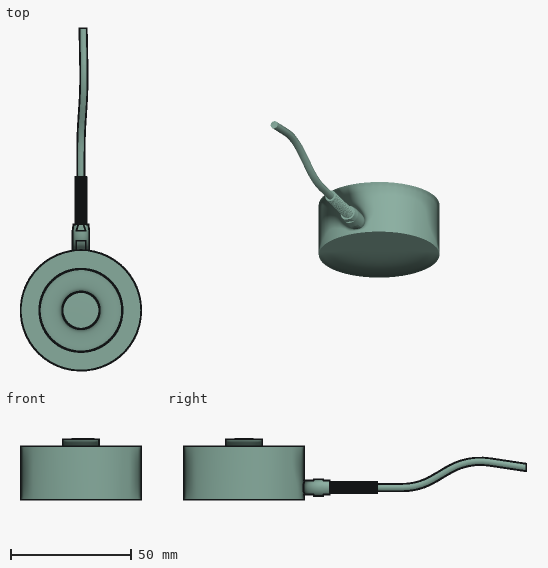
import cadquery as cq
import math

CELL_DIAMETER = 50.29
CELL_HEIGHT = 22.35
TOTAL_HEIGHT = 25.4
TOTAL_LENGTH = 142.72
CELL_RADIUS = CELL_DIAMETER / 2

BUTTON_DIAMETER = 15.24
BUTTON_CROWN = 0.1
BUTTON_RELIEF_DIAMETER = 15.8
BUTTON_RELIEF_DEPTH = 0.3

RECESS_RIM_DIAMETER = 34.8
RECESS_FLOOR_DIAMETER = 34.2
RECESS_DEPTH = 0.5

CABLE_AXIS_Z = 5.12
FITTING_DIAMETER = 7.06
FITTING_SEAT_Y = CELL_RADIUS - 0.5
FITTING_SHOULDER_Y = 33.1
FITTING_TIP_Y = 35.8
FITTING_TIP_DIAMETER = 6.3
FLATS_WIDTH = 5.95
REAR_FLAT_END_Y = 29.0

COIL_OUTER_DIAMETER = 4.8
COIL_INNER_DIAMETER = 3.94
COIL_COUNT = 46
WIRE_DIAMETER = (COIL_OUTER_DIAMETER - COIL_INNER_DIAMETER) / 2
COIL_MEAN_RADIUS = (COIL_OUTER_DIAMETER + COIL_INNER_DIAMETER) / 4

CABLE_DIAMETER = 3.17
CABLE_END_Y = TOTAL_LENGTH - CELL_RADIUS
CABLE_CORNERS = [
    (0, FITTING_SEAT_Y, CABLE_AXIS_Z),
    (0, 72.75, CABLE_AXIS_Z),
    (1.37, 93.2, 17.15),
    (0.82, CABLE_END_Y + CABLE_DIAMETER, 13.0),
]
LOWER_BEND_TANGENT = 6.9
UPPER_BEND_TANGENT = 9.1


def cylinder_along_y(diameter, start_y, end_y):
    plane = cq.Plane(origin=(0, start_y, CABLE_AXIS_Z), xDir=(1, 0, 0), normal=(0, 1, 0))
    return cq.Workplane(plane).circle(diameter / 2).extrude(end_y - start_y)


def make_load_cell():
    button_radius = BUTTON_DIAMETER / 2
    recess_floor_z = CELL_HEIGHT - RECESS_DEPTH
    relief_floor_z = recess_floor_z - BUTTON_RELIEF_DEPTH
    profile = (
        cq.Workplane("XZ")
        .lineTo(CELL_RADIUS, 0)
        .lineTo(CELL_RADIUS, CELL_HEIGHT)
        .lineTo(RECESS_RIM_DIAMETER / 2, CELL_HEIGHT)
        .lineTo(RECESS_FLOOR_DIAMETER / 2, recess_floor_z)
        .lineTo(BUTTON_RELIEF_DIAMETER / 2, recess_floor_z)
        .lineTo(BUTTON_RELIEF_DIAMETER / 2, relief_floor_z)
        .lineTo(button_radius, relief_floor_z)
        .lineTo(button_radius, TOTAL_HEIGHT - BUTTON_CROWN)
    )
    crown_radius = (button_radius**2 + BUTTON_CROWN**2) / (2 * BUTTON_CROWN)
    half_radius = button_radius / 2
    crown_drop = crown_radius - math.sqrt(crown_radius**2 - half_radius**2)
    crown_middle = (half_radius, TOTAL_HEIGHT - crown_drop)
    profile = profile.threePointArc(crown_middle, (0, TOTAL_HEIGHT)).close()
    seat = cylinder_along_y(FITTING_DIAMETER, FITTING_SEAT_Y, CELL_DIAMETER)
    return profile.revolve(360, (0, 0, 0), (0, 1, 0)).cut(seat)


def make_fitting_with_strain_relief():
    body = (
        cylinder_along_y(FITTING_DIAMETER, FITTING_SEAT_Y, FITTING_SHOULDER_Y)
        .faces(">Y")
        .workplane()
        .circle(FITTING_DIAMETER / 2)
        .workplane(offset=FITTING_TIP_Y - FITTING_SHOULDER_Y)
        .circle(FITTING_TIP_DIAMETER / 2)
        .loft(combine=True)
    )
    body = cut_wrench_flats(body, FITTING_SEAT_Y, REAR_FLAT_END_Y)
    body = cut_wrench_flats(body, FITTING_SHOULDER_Y, FITTING_TIP_Y)
    bore = cylinder_along_y(CABLE_DIAMETER, FITTING_SEAT_Y, CABLE_END_Y)
    return body.union(make_coils()).cut(bore)


def cut_wrench_flats(body, start_y, end_y):
    waste_offset = (FLATS_WIDTH + FITTING_DIAMETER) / 2
    for side in (-1, 1):
        waste = (
            cq.Workplane("XY")
            .box(FITTING_DIAMETER, end_y - start_y, FITTING_DIAMETER)
            .translate((0, (start_y + end_y) / 2, CABLE_AXIS_Z + side * waste_offset))
        )
        body = body.cut(waste)
    return body


def make_coils():
    sleeve_end_y = FITTING_TIP_Y + COIL_COUNT * WIRE_DIAMETER
    outline = cq.Workplane("XY").moveTo(0, FITTING_TIP_Y).lineTo(COIL_MEAN_RADIUS, FITTING_TIP_Y)
    for coil in range(COIL_COUNT):
        start_y = FITTING_TIP_Y + coil * WIRE_DIAMETER
        crest = (COIL_OUTER_DIAMETER / 2, start_y + WIRE_DIAMETER / 2)
        outline = outline.threePointArc(crest, (COIL_MEAN_RADIUS, start_y + WIRE_DIAMETER))
    outline = outline.lineTo(0, sleeve_end_y).close()
    return outline.revolve(360, (0, 0, 0), (0, 1, 0)).translate((0, 0, CABLE_AXIS_Z))


def make_cable():
    start, low, high, end = (cq.Vector(*corner) for corner in CABLE_CORNERS)
    run_1 = (low - start).normalized()
    run_2 = (high - low).normalized()
    run_3 = (end - high).normalized()
    bend_1_start = low - run_1 * LOWER_BEND_TANGENT
    bend_1_end = low + run_2 * LOWER_BEND_TANGENT
    bend_2_start = high - run_2 * UPPER_BEND_TANGENT
    bend_2_end = high + run_3 * UPPER_BEND_TANGENT
    path = cq.Wire.assembleEdges([
        cq.Edge.makeLine(start, bend_1_start),
        cq.Edge.makeTangentArc(bend_1_start, run_1, bend_1_end),
        cq.Edge.makeLine(bend_1_end, bend_2_start),
        cq.Edge.makeTangentArc(bend_2_start, run_2, bend_2_end),
        cq.Edge.makeLine(bend_2_end, end),
    ])
    section = cq.Plane(origin=start.toTuple(), xDir=(1, 0, 0), normal=(0, 1, 0))
    cable = cq.Workplane(section).circle(CABLE_DIAMETER / 2).sweep(cq.Workplane(path))
    beyond_end = cq.Workplane("XY").box(CELL_DIAMETER, CELL_DIAMETER, 2 * CELL_DIAMETER)
    return cable.cut(beyond_end.translate((0, CABLE_END_Y + CELL_RADIUS, 0)))


load_cell = make_load_cell()
fitting = make_fitting_with_strain_relief()
cable = make_cable()

result = cq.Compound.makeCompound([load_cell.val(), fitting.val(), cable.val()])